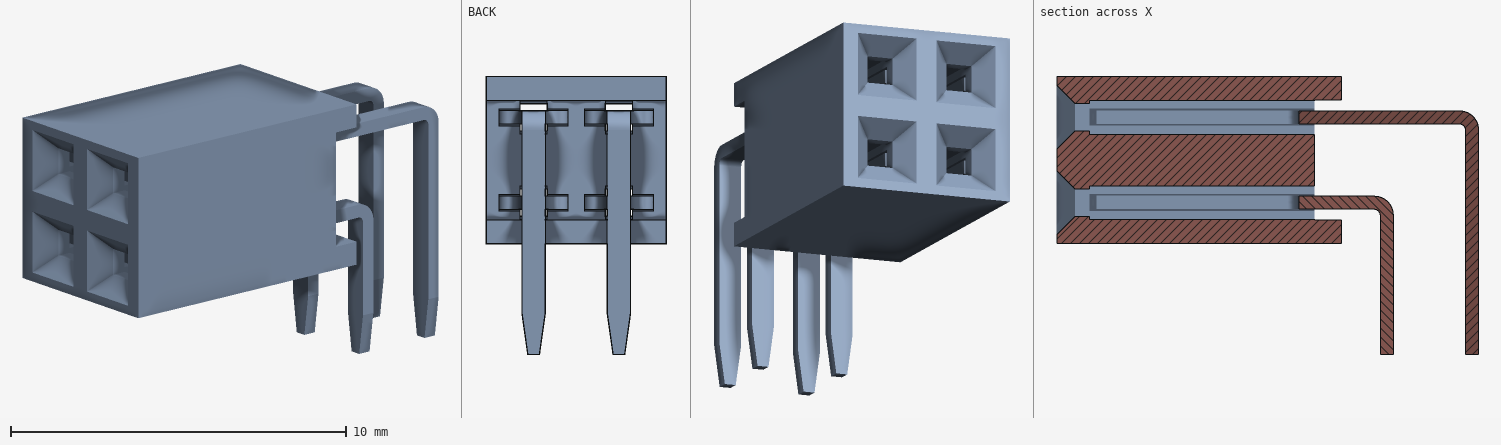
import cadquery as cq
import math


PITCH = 2.55
COLUMNS = 2
ROWS = 2

HOUSING_WIDTH = 5.38
HOUSING_DEPTH = 8.5
HOUSING_HEIGHT = 5.0
NOTCH_DEPTH = 0.81
NOTCH_HEIGHT = 3.57
NOTCH_FACE_Y = HOUSING_DEPTH - NOTCH_DEPTH

FUNNEL_MOUTH = 1.9
HOLE_SIZE = 0.81
FUNNEL_DEPTH = (FUNNEL_MOUTH - HOLE_SIZE) / 2
CHAMBER_START_Y = 1.0
CHAMBER_HEIGHT = 1.0
FORK_SLOT_HEIGHT = 0.5

PIN_THICKNESS = 0.4
PIN_WIDTH = 0.7
PIN_REAR_Y = 12.6
PIN_BOTTOM_Z = -3.3
BEND_INNER_RADIUS = 0.18
TAPER_LENGTH = 1.25
TIP_WIDTH = PIN_WIDTH / 2

FLARE_RADIUS = 0.4
SHOULDER_RADIUS = 0.28
SHOULDER_OVERHANG = 0.13
FORK_GAP = 0.86
FORK_FLOOR_RADIUS = 0.5
FORK_CORNER_RADIUS = 0.2
FORK_END_CLEARANCE = 0.2
FORK_WIDTH = PIN_WIDTH + 2 * (FLARE_RADIUS + SHOULDER_RADIUS)
FORK_FRONT_Y = CHAMBER_START_Y + FORK_END_CLEARANCE
SHOULDER_Y = NOTCH_FACE_Y + SHOULDER_OVERHANG
STEM_START_Y = SHOULDER_Y + FLARE_RADIUS
FORK_FLOOR_Y = SHOULDER_Y - (FORK_WIDTH - FORK_GAP) / 2


def column_x(column):
    return (column - (COLUMNS - 1) / 2) * PITCH


def row_z(row):
    return HOUSING_HEIGHT / 2 + (row - (ROWS - 1) / 2) * PITCH


def passage(width, height, start_y, end_y):
    """A block centred on the Y axis that runs from start_y to end_y."""
    length = end_y - start_y
    return cq.Workplane("XY").box(width, length, height).translate((0, start_y + length / 2, 0))


def make_opening():
    """The space of one contact, centred on the Y axis."""
    funnel = (
        cq.Workplane("XZ")
        .rect(FUNNEL_MOUTH, FUNNEL_MOUTH)
        .workplane(offset=-FUNNEL_DEPTH)
        .rect(HOLE_SIZE, HOLE_SIZE)
        .loft(ruled=True)
    )
    hole = passage(HOLE_SIZE, HOLE_SIZE, FUNNEL_DEPTH, NOTCH_FACE_Y)
    chamber = passage(HOLE_SIZE, CHAMBER_HEIGHT, CHAMBER_START_Y, NOTCH_FACE_Y)
    fork_slot = passage(FORK_WIDTH, FORK_SLOT_HEIGHT, CHAMBER_START_Y, NOTCH_FACE_Y)
    return funnel.union(hole).union(chamber).union(fork_slot)


def make_housing():
    block = passage(HOUSING_WIDTH, HOUSING_HEIGHT, 0, HOUSING_DEPTH)
    notch = passage(HOUSING_WIDTH, NOTCH_HEIGHT, NOTCH_FACE_Y, HOUSING_DEPTH)
    housing = block.cut(notch).translate((0, 0, HOUSING_HEIGHT / 2))
    opening = make_opening()
    for column in range(COLUMNS):
        for row in range(ROWS):
            housing = housing.cut(opening.translate((column_x(column), 0, row_z(row))))
    return housing


def make_fork():
    """The two-armed contact end, flat in XY and centred on the Y axis."""
    half_pin = PIN_WIDTH / 2
    half_fork = FORK_WIDTH / 2
    flare_end_x = half_pin + FLARE_RADIUS
    diagonal = math.sqrt(0.5)
    half_outline = (
        cq.Workplane("XY")
        .workplane(offset=-PIN_THICKNESS / 2)
        .moveTo(0, STEM_START_Y)
        .lineTo(half_pin, STEM_START_Y)
        .threePointArc(
            (flare_end_x - FLARE_RADIUS * diagonal, STEM_START_Y - FLARE_RADIUS * diagonal),
            (flare_end_x, SHOULDER_Y),
        )
        .threePointArc(
            (
                flare_end_x + SHOULDER_RADIUS * diagonal,
                SHOULDER_Y - SHOULDER_RADIUS * (1 - diagonal),
            ),
            (half_fork, SHOULDER_Y - SHOULDER_RADIUS),
        )
        .lineTo(half_fork, FORK_FRONT_Y)
        .lineTo(0, FORK_FRONT_Y)
        .close()
    )
    half_blank = half_outline.extrude(PIN_THICKNESS)
    return half_blank.union(half_blank.mirror("YZ")).cut(make_fork_gap())


def make_fork_gap():
    """The space between the arms, with a round floor and rounded corners."""
    half_gap = FORK_GAP / 2
    floor_sagitta = FORK_FLOOR_RADIUS - math.sqrt(FORK_FLOOR_RADIUS**2 - half_gap**2)
    floor_edge_y = FORK_FLOOR_Y - floor_sagitta
    return (
        cq.Workplane("XY")
        .workplane(offset=-PIN_THICKNESS / 2)
        .moveTo(-half_gap, FORK_FRONT_Y)
        .lineTo(-half_gap, floor_edge_y)
        .threePointArc((0, FORK_FLOOR_Y), (half_gap, floor_edge_y))
        .lineTo(half_gap, FORK_FRONT_Y)
        .close()
        .extrude(PIN_THICKNESS)
        .edges("|Z")
        .edges(">Y")
        .fillet(FORK_CORNER_RADIUS)
    )


def make_stem_and_leg(rear_y, drop):
    """The bent strip behind the fork; the tip is `drop` below the stem's middle plane."""
    half = PIN_THICKNESS / 2
    strip = (
        cq.Workplane("YZ")
        .workplane(offset=-PIN_WIDTH / 2)
        .moveTo(STEM_START_Y, half)
        .lineTo(rear_y, half)
        .lineTo(rear_y, -drop)
        .lineTo(rear_y - PIN_THICKNESS, -drop)
        .lineTo(rear_y - PIN_THICKNESS, -half)
        .lineTo(STEM_START_Y, -half)
        .close()
        .extrude(PIN_WIDTH)
    )
    outer_corner = cq.selectors.NearestToPointSelector((0, rear_y, half))
    inner_corner = cq.selectors.NearestToPointSelector((0, rear_y - PIN_THICKNESS, -half))
    strip = strip.edges(outer_corner).fillet(BEND_INNER_RADIUS + PIN_THICKNESS)
    strip = strip.edges(inner_corner).fillet(BEND_INNER_RADIUS)
    return strip.intersect(make_tip_envelope(rear_y, drop))


def make_tip_envelope(rear_y, drop):
    """The front outline of a leg with a tapered tip, as deep as the whole strip."""
    half_pin = PIN_WIDTH / 2
    half_tip = TIP_WIDTH / 2
    top_z = PIN_THICKNESS / 2
    return (
        cq.Workplane("XZ")
        .polyline(
            [
                (-half_pin, top_z),
                (half_pin, top_z),
                (half_pin, TAPER_LENGTH - drop),
                (half_tip, -drop),
                (-half_tip, -drop),
                (-half_pin, TAPER_LENGTH - drop),
            ]
        )
        .close()
        .extrude(-rear_y)
    )


def make_pin(column, row):
    rows_below_top = ROWS - 1 - row
    rear_y = PIN_REAR_Y - rows_below_top * PITCH
    drop = row_z(row) - PIN_BOTTOM_Z
    pin = make_fork().union(make_stem_and_leg(rear_y, drop))
    return pin.translate((column_x(column), 0, row_z(row)))


housing = make_housing()

pins = []
for column in range(COLUMNS):
    for row in range(ROWS):
        pins.append(make_pin(column, row).solids().val())

result = cq.Compound.makeCompound([housing.solids().val(), *pins])